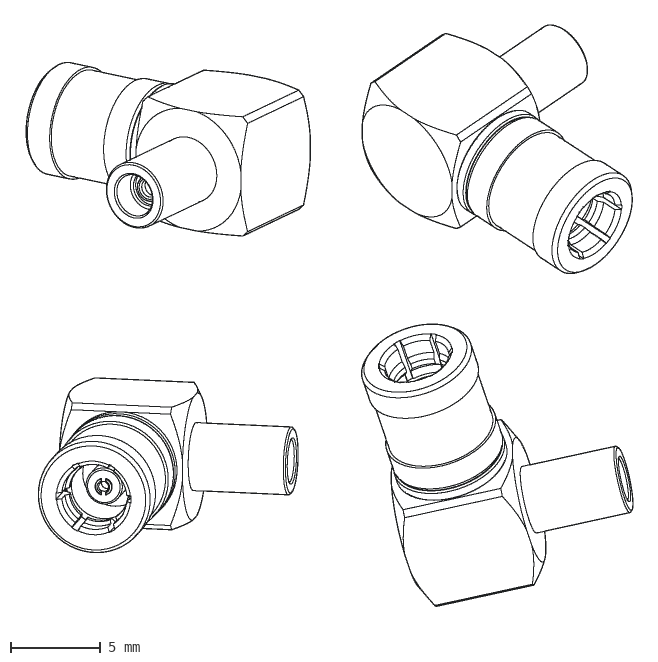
import cadquery as cq
import math


overall_length = 14.7
body_size = 7.0
body_edge_chamfer = 0.32
body_cone_radius = 3.55
body_cone_angle = 30.0
half_body = body_size / 2
body_start = overall_length - body_size
stem_axis_x = body_start + half_body

collar_radius = 3.18
waist_radius = 3.01
front_chamfer_length = 0.24
front_chamfer_depth = 0.2
front_collar_end = 1.72
rear_collar_start = 5.32
rear_collar_end = 6.82
rear_chamfer_length = 0.2
rear_chamfer_depth = 0.12
flange_radius = 3.2
flange_end = 7.61
flange_width = 0.49
flange_chamfer = 0.1
neck_radius = 3.1

socket_radius = 2.13
socket_depth = 2.72
socket_bore_radius = 1.8
socket_bore_depth = 5.88

finger_mouth_radius = 2.1
finger_inner_radius = 1.85
finger_snap_radius = 1.68
finger_snap_start = 1.13
finger_snap_crest_start = 1.45
finger_snap_crest_end = 1.8
finger_root_radius = 2.06
finger_slot_width = 0.37
finger_slot_pairs = 3

insulator_radius = 1.03
insulator_chamfer = 0.1
insulator_tip = 2.94
contact_radius = 0.47
contact_tip = 2.8
contact_bore_mouth_radius = 0.35
contact_bore_radius = 0.28
contact_bore_depth = 0.88
contact_drill_angle = 118.0
contact_slot_width = 0.26
contact_slot_depth = 0.59

stem_length = 5.5
stem_radius = 1.9
stem_end_chamfer = 0.1
stem_bore_radius = 1.19
stem_bore_chamfer = 0.1
stem_bore_depth = 1.45
stem_tip = half_body + stem_length

cup_well_radius = 0.98
cup_well_depth = 0.22
cup_radius = 0.72
cup_mouth_radius = 0.6
cup_bore_radius = 0.5
cup_bore_depth = 0.44
cup_root_fillet = 0.18


def turned_on_barrel(points):
    """Revolve an (x, radius) profile about the barrel axis."""
    return cq.Workplane("XY").polyline(points).close().revolve(360, (0, 0, 0), (1, 0, 0))


def turned_on_stem(profile):
    """Revolve a closed (radius, y) profile about the stem axis."""
    return profile.close().revolve(360, (0, 0, 0), (0, 1, 0)).translate((stem_axis_x, 0, 0))


def make_body():
    block = cq.Workplane("XY").box(body_size, body_size, body_size)
    block = block.edges("|Y").chamfer(body_edge_chamfer)
    middle_radius = body_cone_radius + half_body / math.tan(math.radians(body_cone_angle))
    double_cone = (
        cq.Workplane("XY")
        .polyline(
            [
                (0, -half_body),
                (body_cone_radius, -half_body),
                (middle_radius, 0),
                (body_cone_radius, half_body),
                (0, half_body),
            ]
        )
        .close()
        .revolve(360, (0, 0, 0), (0, 1, 0))
    )
    return block.intersect(double_cone).translate((stem_axis_x, 0, 0))


def make_barrel():
    flange_start = flange_end - flange_width
    return turned_on_barrel(
        [
            (0, 0),
            (0, collar_radius - front_chamfer_depth),
            (front_chamfer_length, collar_radius),
            (front_collar_end, collar_radius),
            (front_collar_end, waist_radius),
            (rear_collar_start, waist_radius),
            (rear_collar_start, collar_radius),
            (rear_collar_end, collar_radius),
            (rear_collar_end + rear_chamfer_length, collar_radius - rear_chamfer_depth),
            (flange_start - flange_chamfer, flange_radius - flange_chamfer),
            (flange_start, flange_radius),
            (flange_end, flange_radius),
            (flange_end, neck_radius),
            (stem_axis_x, neck_radius),
            (stem_axis_x, 0),
        ]
    )


def make_socket():
    return turned_on_barrel(
        [
            (0, 0),
            (0, socket_radius),
            (socket_depth, socket_radius),
            (socket_depth, socket_bore_radius),
            (socket_bore_depth, socket_bore_radius),
            (socket_bore_depth, 0),
        ]
    )


def make_fingers():
    root_start = finger_snap_crest_end + finger_root_radius - finger_snap_radius
    ring = turned_on_barrel(
        [
            (0, socket_radius),
            (0, finger_mouth_radius),
            (finger_mouth_radius - finger_inner_radius, finger_inner_radius),
            (finger_snap_start, finger_inner_radius),
            (finger_snap_crest_start, finger_snap_radius),
            (finger_snap_crest_end, finger_snap_radius),
            (root_start, finger_root_radius),
            (socket_depth, finger_root_radius),
            (socket_depth, socket_radius),
        ]
    )
    for index in range(finger_slot_pairs):
        slot = (
            cq.Workplane("XY")
            .box(socket_depth, 2 * socket_radius, finger_slot_width, centered=(False, True, True))
            .rotate((0, 0, 0), (1, 0, 0), index * 180 / finger_slot_pairs)
        )
        ring = ring.cut(slot)
    return ring


def make_insulator():
    return turned_on_barrel(
        [
            (insulator_tip, 0),
            (insulator_tip, insulator_radius - insulator_chamfer),
            (insulator_tip + insulator_chamfer, insulator_radius),
            (socket_bore_depth, insulator_radius),
            (socket_bore_depth, 0),
        ]
    )


def make_contact():
    pin = turned_on_barrel(
        [
            (contact_tip, 0),
            (contact_tip, contact_radius),
            (socket_bore_depth, contact_radius),
            (socket_bore_depth, 0),
        ]
    )
    slot = cq.Workplane("XY").box(
        contact_slot_depth, contact_slot_width, 2 * contact_radius, centered=(False, True, True)
    )
    return pin.cut(slot.translate((contact_tip, 0, 0)))


def make_contact_bore():
    bore_end = contact_tip + contact_bore_depth
    drill_point = contact_bore_radius / math.tan(math.radians(contact_drill_angle / 2))
    return turned_on_barrel(
        [
            (contact_tip, 0),
            (contact_tip, contact_bore_mouth_radius),
            (contact_tip + contact_bore_mouth_radius - contact_bore_radius, contact_bore_radius),
            (bore_end, contact_bore_radius),
            (bore_end + drill_point, 0),
        ]
    )


def make_stem():
    return turned_on_stem(
        cq.Workplane("XY").polyline(
            [
                (0, 0),
                (stem_radius, 0),
                (stem_radius, stem_end_chamfer - stem_tip),
                (stem_radius - stem_end_chamfer, -stem_tip),
                (0, -stem_tip),
            ]
        )
    )


def make_stem_bore():
    """Bore, then a narrower well with a solder cup rising from its floor to the bottom of the bore."""
    step_y = stem_bore_depth - stem_tip
    floor_y = step_y + cup_well_depth
    cup_floor_y = step_y + cup_bore_depth
    cup_chamfer = cup_mouth_radius - cup_bore_radius
    arc_offset = cup_root_fillet * (1 - math.sqrt(0.5))
    profile = (
        cq.Workplane("XY")
        .moveTo(0, -stem_tip)
        .lineTo(stem_bore_radius + stem_bore_chamfer, -stem_tip)
        .lineTo(stem_bore_radius, stem_bore_chamfer - stem_tip)
        .lineTo(stem_bore_radius, step_y)
        .lineTo(cup_well_radius, step_y)
        .lineTo(cup_well_radius, floor_y)
        .lineTo(cup_radius + cup_root_fillet, floor_y)
        .threePointArc((cup_radius + arc_offset, floor_y - arc_offset), (cup_radius, floor_y - cup_root_fillet))
        .lineTo(cup_radius, step_y)
        .lineTo(cup_mouth_radius, step_y)
        .lineTo(cup_bore_radius, step_y + cup_chamfer)
        .lineTo(cup_bore_radius, cup_floor_y)
        .lineTo(0, cup_floor_y)
    )
    return turned_on_stem(profile)


result = make_body().union(make_barrel()).union(make_stem())
result = result.cut(make_socket()).cut(make_stem_bore())
result = result.union(make_fingers()).union(make_insulator()).union(make_contact())
result = result.cut(make_contact_bore())